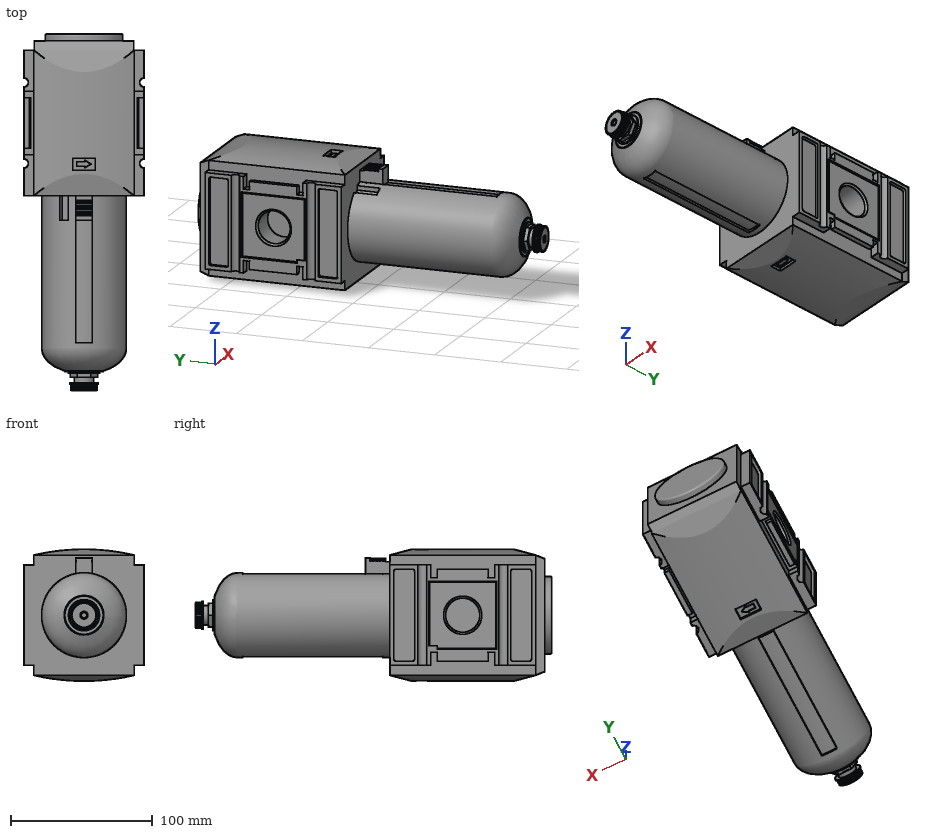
import cadquery as cq
import math


BODY_WIDTH = 85.0
BODY_HALF_LENGTH = 51.5
CORNER_STEP = 7.0
CORE_HALF_WIDTH = BODY_WIDTH / 2 - CORNER_STEP
WING_HALF_HEIGHT = BODY_WIDTH / 2 - CORNER_STEP
CORE_HALF_HEIGHT = BODY_WIDTH / 2
CROWN_HALF_HEIGHT = 93.27 / 2
CROWN_BEVEL_LENGTH = 15.5
COLLAR_LENGTH = 6.5
COLLAR_HALF_WIDTH = 35.2
COLLAR_DROP = 2.6
COLLAR_END = BODY_HALF_LENGTH + COLLAR_LENGTH

CAP_DIAMETER = 55.0
CAP_LENGTH = 5.0
CAP_ROUND = 1.5

CLAMP_GROOVE_RADIUS = 3.1
CLAMP_GROOVE_OFFSET = 28.6
POCKET_LENGTH = 14.6
POCKET_HEIGHT = 65.0
POCKET_OFFSET = 41.3
POCKET_ROUND = 1.5
POCKET_DEPTH = 2.5

LIP_GAP_LENGTH = 45.0
LIP_GAP_FLOOR = 26.3
LIP_LENGTH = 36.0
LIP_TOP = 32.4
LIP_THICKNESS = 3.9
LIP_BASE_THICKNESS = 4.8

SEAL_OUTER_SIZE = 48.0
SEAL_INNER_SIZE = 46.4
SEAL_STEP = 0.3
SEAL_KEY_LENGTH = 6.0
SEAL_KEY_HEIGHT = 2.4
PORT_DIAMETER = 24.12
PORT_MOUTH_DIAMETER = 27.0
PORT_DEPTH = 20.0

ARROW_WINDOW_LENGTH = 16.2
ARROW_WINDOW_WIDTH = 8.5
ARROW_WINDOW_Y = -29.0
ARROW_WINDOW_FLOOR = 44.0
ARROW_HEIGHT = 1.0
ARROW_TAIL_X = -5.0
ARROW_NECK_X = 0.5
ARROW_TIP_X = 5.0
ARROW_SHAFT_HALF_WIDTH = 1.7
ARROW_HEAD_HALF_WIDTH = 2.7

BOWL_RADIUS = 30.0
BOWL_START = -BODY_HALF_LENGTH
DOME_START = -159.0
DOME_DEPTH = 18.2
DOME_FLAT_RADIUS = 14.0
RIM_RADIUS = 13.5
RIM_HEIGHT = 0.5
BOSS_RADIUS = 11.0
BOSS_END = -176.6

SIGHT_WIDTH = 12.0
SIGHT_FLOOR_RADIUS = 28.0
SIGHT_START = BOWL_START - 5.0
SIGHT_END = -155.2

LATCH_WIDTH = 11.6
LATCH_END = BOWL_START - 17.2
LATCH_ROOT_DEPTH = 1.0
LATCH_TOP = 40.4
LATCH_SHELF_TOP = 37.8
LATCH_SHELF_LENGTH = 3.0
LATCH_TEETH = 5
LATCH_TOOTH_PITCH = 2.3
LATCH_TOOTH_WIDTH = 1.2
LATCH_TOOTH_TOP = 40.2
LATCH_TOOTH_ROOT = 38.4
LATCH_LIP_LENGTH = 3.3
MARK_INNER_X = -11.0
MARK_OUTER_X = -17.2
MARK_FLOOR_RADIUS = 27.0

HEX_ACROSS_FLATS = 17.0
HEX_END = -179.6
NECK_DIAMETER = 14.0
KNOB_START = -183.4
KNOB_FLANGE_DIAMETER = 20.0
KNOB_FLANGE_LENGTH = 1.0
KNOB_DIAMETER = 18.6
KNOB_CORE_DIAMETER = 17.0
KNOB_RIBS = 24
KNOB_RIB_WIDTH = 1.2
KNOB_FACE_STEP = 0.3
KNOB_END = -189.0
DRAIN_DIAMETER = 4.0
DRAIN_MOUTH_DIAMETER = 5.4
DRAIN_MOUTH_ANGLE = 90
DRAIN_DEPTH = 4.0


def box(x_range, y_range, z_range):
    """Box between the given limits on each axis."""
    (x0, x1), (y0, y1), (z0, z1) = x_range, y_range, z_range
    corner = (min(x0, x1), min(y0, y1), min(z0, z1))
    return cq.Workplane("XY").box(abs(x1 - x0), abs(y1 - y0), abs(z1 - z0), centered=False).translate(corner)


def centered(size):
    """Limits of a length centred on zero."""
    return (-size / 2, size / 2)


def rod(radius, y_start, y_end):
    """Cylinder on the bowl axis, running toward -Y."""
    return cq.Workplane("XZ", origin=(0, y_start, 0)).circle(radius).extrude(y_start - y_end)


def housing_block():
    """Core with arched top and bottom, bevelled ends and a collar, joined to the two side wings."""
    core = (
        cq.Workplane("XZ", origin=(0, COLLAR_END, 0))
        .moveTo(-CORE_HALF_WIDTH, -CORE_HALF_HEIGHT)
        .threePointArc((0, -CROWN_HALF_HEIGHT), (CORE_HALF_WIDTH, -CORE_HALF_HEIGHT))
        .lineTo(CORE_HALF_WIDTH, CORE_HALF_HEIGHT)
        .threePointArc((0, CROWN_HALF_HEIGHT), (-CORE_HALF_WIDTH, CORE_HALF_HEIGHT))
        .close()
        .extrude(COLLAR_END + BODY_HALF_LENGTH)
    )
    bevel_end = BODY_HALF_LENGTH - CROWN_BEVEL_LENGTH
    upper_outline = [
        (-BODY_HALF_LENGTH, CORE_HALF_HEIGHT),
        (-bevel_end, CROWN_HALF_HEIGHT),
        (bevel_end, CROWN_HALF_HEIGHT),
        (BODY_HALF_LENGTH, CORE_HALF_HEIGHT),
        (COLLAR_END, CORE_HALF_HEIGHT - COLLAR_DROP),
    ]
    lower_outline = [(y, -z) for y, z in reversed(upper_outline)]
    side_profile = cq.Workplane("YZ").polyline(upper_outline + lower_outline).close()
    core = core.intersect(side_profile.extrude(BODY_WIDTH / 2, both=True))
    for side in (-1, 1):
        strip_x = (side * COLLAR_HALF_WIDTH, side * CORE_HALF_WIDTH)
        core = core.cut(box(strip_x, (BODY_HALF_LENGTH, COLLAR_END), centered(BODY_WIDTH)))
    wings = cq.Workplane("XY").box(BODY_WIDTH, 2 * BODY_HALF_LENGTH, 2 * WING_HALF_HEIGHT)
    return core.union(wings)


def cap():
    disc = rod(CAP_DIAMETER / 2, COLLAR_END + CAP_LENGTH, COLLAR_END)
    return disc.faces(">Y").edges().fillet(CAP_ROUND)


def lip_gap():
    """Gap above the -X port plate, leaving a lip whose inner face leans inward toward its base."""
    outer_x = -BODY_WIDTH / 2
    gap = box((outer_x, -CORE_HALF_WIDTH), centered(LIP_GAP_LENGTH), (LIP_GAP_FLOOR, WING_HALF_HEIGHT))
    lip = (
        cq.Workplane("XZ", origin=(0, LIP_LENGTH / 2, 0))
        .moveTo(outer_x, LIP_GAP_FLOOR)
        .lineTo(outer_x + LIP_BASE_THICKNESS, LIP_GAP_FLOOR)
        .lineTo(outer_x + LIP_THICKNESS, LIP_TOP)
        .lineTo(outer_x, LIP_TOP)
        .close()
        .extrude(LIP_LENGTH)
    )
    return gap.cut(lip)


def seal_recess():
    """Two-step square recess in the -X face, with a key left standing in one corner."""
    outer_x = -BODY_WIDTH / 2
    recess = box((outer_x, outer_x + SEAL_STEP), centered(SEAL_OUTER_SIZE), centered(SEAL_OUTER_SIZE))
    inner = box((outer_x, outer_x + 2 * SEAL_STEP), centered(SEAL_INNER_SIZE), centered(SEAL_INNER_SIZE))
    corner = -SEAL_OUTER_SIZE / 2
    key = box(
        (outer_x, outer_x + 2 * SEAL_STEP),
        (corner, corner + SEAL_KEY_LENGTH),
        (corner, corner + SEAL_KEY_HEIGHT),
    )
    return recess.union(inner).cut(key)


def port():
    """Blind threaded port with a 45 degree chamfered mouth, opening in the recess floor."""
    floor_x = -BODY_WIDTH / 2 + 2 * SEAL_STEP
    chamfer = (PORT_MOUTH_DIAMETER - PORT_DIAMETER) / 2
    bottom_x = floor_x + PORT_DEPTH
    return (
        cq.Workplane("XY")
        .moveTo(floor_x, 0)
        .lineTo(floor_x, PORT_MOUTH_DIAMETER / 2)
        .lineTo(floor_x + chamfer, PORT_DIAMETER / 2)
        .lineTo(bottom_x, PORT_DIAMETER / 2)
        .lineTo(bottom_x, 0)
        .close()
        .revolve(360, (0, 0, 0), (1, 0, 0))
    )


def side_cuts():
    """Everything removed from the -X side of the housing."""
    outer_x = -BODY_WIDTH / 2
    cuts = seal_recess().union(port())
    gap = lip_gap()
    cuts = cuts.union(gap).union(gap.mirror("XY"))
    for end in (-1, 1):
        groove = (
            cq.Workplane("XY")
            .center(outer_x, end * CLAMP_GROOVE_OFFSET)
            .circle(CLAMP_GROOVE_RADIUS)
            .extrude(WING_HALF_HEIGHT, both=True)
        )
        pocket = (
            cq.Workplane("YZ", origin=(outer_x, end * POCKET_OFFSET, 0))
            .rect(POCKET_LENGTH, POCKET_HEIGHT)
            .extrude(POCKET_DEPTH)
            .edges("|X")
            .fillet(POCKET_ROUND)
        )
        cuts = cuts.union(groove).union(pocket)
    return cuts


def arrow_window():
    """Rectangular window in the crown with a raised arrow pointing to +X on its floor."""
    window = cq.Workplane("XY", origin=(0, ARROW_WINDOW_Y, ARROW_WINDOW_FLOOR))
    depth = CROWN_HALF_HEIGHT - ARROW_WINDOW_FLOOR
    opening = window.rect(ARROW_WINDOW_LENGTH, ARROW_WINDOW_WIDTH).extrude(depth)
    upper_outline = [
        (ARROW_TAIL_X, ARROW_SHAFT_HALF_WIDTH),
        (ARROW_NECK_X, ARROW_SHAFT_HALF_WIDTH),
        (ARROW_NECK_X, ARROW_HEAD_HALF_WIDTH),
        (ARROW_TIP_X, 0),
    ]
    lower_outline = [(x, -y) for x, y in reversed(upper_outline[:-1])]
    arrow = window.polyline(upper_outline + lower_outline).close().extrude(ARROW_HEIGHT)
    return opening.cut(arrow)


def make_housing():
    cuts = side_cuts()
    block = housing_block().union(cap())
    window = arrow_window()
    block = block.cut(cuts).cut(cuts.mirror("YZ"))
    return block.cut(window).cut(window.mirror("XY"))


def bowl_shell():
    """Cylinder closed by an elliptical end, cut flat around a rim and a low boss."""
    barrel_length = BOWL_START - DOME_START
    flat_y = DOME_START - DOME_DEPTH * math.sqrt(1 - (DOME_FLAT_RADIUS / BOWL_RADIUS) ** 2)
    rim_end = flat_y - RIM_HEIGHT
    shell = (
        cq.Workplane("XY", origin=(0, DOME_START, 0))
        .ellipseArc(BOWL_RADIUS, DOME_DEPTH, 270, 360, startAtCurrent=False)
        .lineTo(BOWL_RADIUS, barrel_length)
        .lineTo(0, barrel_length)
        .close()
        .revolve(360, (0, 0, 0), (0, 1, 0))
    )
    shell = shell.cut(rod(BOWL_RADIUS, flat_y, DOME_START - DOME_DEPTH))
    shell = shell.union(rod(RIM_RADIUS, flat_y, rim_end))
    return shell.union(rod(BOSS_RADIUS, rim_end, BOSS_END))


def sight_groove():
    """Groove along the top of the bowl with a floor concentric to it."""
    blank = box(centered(SIGHT_WIDTH), (SIGHT_START, SIGHT_END), (0, BOWL_RADIUS))
    return blank.cut(rod(SIGHT_FLOOR_RADIUS, SIGHT_START, SIGHT_END))


def latch():
    """Tab beside the housing with gripping teeth and an end lip."""
    foot = SIGHT_FLOOR_RADIUS - LATCH_ROOT_DEPTH
    across = centered(LATCH_WIDTH)
    tab = box(across, (BOWL_START, LATCH_END), (foot, LATCH_SHELF_TOP))
    teeth_start = BOWL_START - LATCH_SHELF_LENGTH
    tab = tab.union(box(across, (teeth_start, LATCH_END), (foot, LATCH_TOOTH_ROOT)))
    for i in range(LATCH_TEETH):
        tooth_start = teeth_start - i * LATCH_TOOTH_PITCH
        tooth_range = (tooth_start, tooth_start - LATCH_TOOTH_WIDTH)
        tab = tab.union(box(across, tooth_range, (foot, LATCH_TOOTH_TOP)))
    return tab.union(box(across, (LATCH_END + LATCH_LIP_LENGTH, LATCH_END), (foot, LATCH_TOP)))


def latch_mark():
    """Short recess beside the latch: an upright inner wall, a concentric floor and a radial outer wall."""
    outer_z = math.sqrt(BOWL_RADIUS**2 - MARK_OUTER_X**2)
    wedge = (
        cq.Workplane("XZ", origin=(0, BOWL_START, 0))
        .moveTo(0, 0)
        .lineTo(2 * MARK_OUTER_X, 2 * outer_z)
        .lineTo(MARK_INNER_X, 2 * outer_z)
        .lineTo(MARK_INNER_X, 0)
        .close()
        .extrude(BOWL_START - LATCH_END)
    )
    return wedge.cut(rod(MARK_FLOOR_RADIUS, BOWL_START, LATCH_END))


def drain_screw():
    """Hexagon, neck and ribbed knob with a countersunk drain hole."""
    hex_face = cq.Workplane("XZ", origin=(0, BOSS_END, 0)).polygon(6, HEX_ACROSS_FLATS, circumscribed=True)
    hexagon = hex_face.extrude(BOSS_END - HEX_END).rotate((0, 0, 0), (0, 1, 0), 30)
    screw = hexagon.union(rod(NECK_DIAMETER / 2, HEX_END, KNOB_START))
    rib_start = KNOB_START - KNOB_FLANGE_LENGTH
    screw = screw.union(rod(KNOB_FLANGE_DIAMETER / 2, KNOB_START, rib_start))
    screw = screw.union(rod(KNOB_CORE_DIAMETER / 2, rib_start, KNOB_END))
    rib_end = KNOB_END + KNOB_FACE_STEP
    blade = box((0, KNOB_DIAMETER / 2), (rib_start, rib_end), centered(KNOB_RIB_WIDTH))
    ribs = blade
    for i in range(1, KNOB_RIBS):
        ribs = ribs.union(blade.rotate((0, 0, 0), (0, 1, 0), i * 360 / KNOB_RIBS))
    screw = screw.union(ribs.intersect(rod(KNOB_DIAMETER / 2, rib_start, rib_end)))
    face = screw.faces("<Y").workplane(origin=(0, KNOB_END, 0))
    return face.cskHole(DRAIN_DIAMETER, DRAIN_MOUTH_DIAMETER, DRAIN_MOUTH_ANGLE, DRAIN_DEPTH)


def make_bowl():
    groove = sight_groove()
    shell = bowl_shell().cut(groove).cut(groove.mirror("XY")).cut(latch_mark())
    return shell.union(latch()).union(drain_screw())


housing = make_housing()
bowl = make_bowl()
result = cq.Compound.makeCompound([housing.val(), bowl.val()])